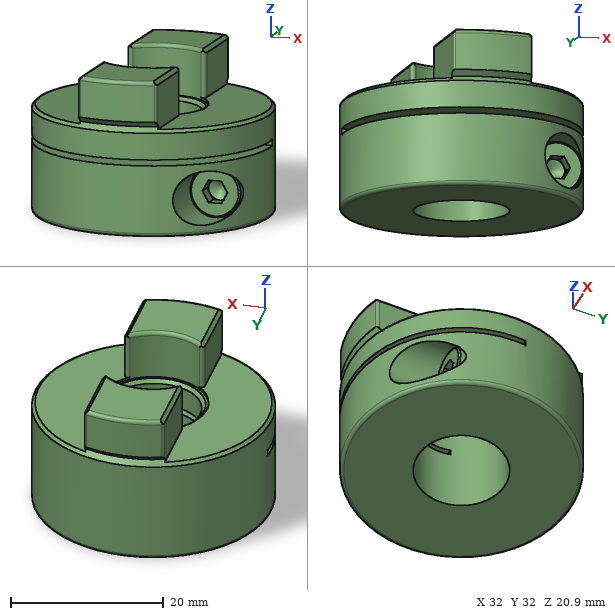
import cadquery as cq
import math

hub_radius = 16.0
hub_height = 14.4
bottom_round = 0.5
bore_radius = 6.35
bore_chamfer = 0.5
recess_radius = 7.23
recess_depth = 0.32

total_height = 20.9
jaw_width = 10.8
jaw_corner_round = 0.4
jaw_top_chamfer = 0.5
jaw_top_round = 0.5

groove_depth = 0.75
groove_height = 14.7

slit_bottom = 9.57
slit_width = 0.8
slit_end_y = 1.5

screw_x = 10.98
screw_z = 4.9
head_radius = 3.5
head_front_y = -7.55
head_height = 4.0
head_chamfer = 0.22
pocket_radius = 3.6
shank_radius = 2.0
shank_length = 7.05
hex_flats = 3.0
hex_depth = 1.92
drill_point_angle = 120.0

head_seat_y = head_front_y + head_height


def screw_section(y):
    """Workplane at the given Y on the screw axis, facing +Y."""
    return cq.Workplane(cq.Plane(origin=(screw_x, y, screw_z), xDir=(1, 0, 0), normal=(0, 1, 0)))


def make_disc():
    disc = cq.Workplane("XY").circle(hub_radius).extrude(hub_height)
    return disc.faces("<Z").edges().fillet(bottom_round)


def make_jaw(side):
    """One jaw on the +Y or -Y side: curved top edges rounded, straight top edges chamfered."""
    jaw_bottom = hub_height - recess_depth
    ring = (
        cq.Workplane("XY", origin=(0, 0, jaw_bottom))
        .circle(hub_radius)
        .circle(recess_radius)
        .extrude(total_height - jaw_bottom)
    )
    ring = ring.faces(">Z").edges().fillet(jaw_top_round)
    block = (
        cq.Workplane("XY", origin=(0, side * hub_radius / 2, jaw_bottom))
        .rect(jaw_width, hub_radius)
        .extrude(total_height - jaw_bottom)
    )
    block = block.faces(">Z").edges("|Y").chamfer(jaw_top_chamfer)
    jaw = ring.intersect(block)
    return jaw.edges("|Z").fillet(jaw_corner_round)


def make_rim_groove():
    return (
        cq.Workplane("XZ")
        .moveTo(hub_radius - groove_depth, groove_height)
        .lineTo(hub_radius, groove_height - groove_depth)
        .lineTo(hub_radius + groove_depth, groove_height)
        .lineTo(hub_radius, groove_height + groove_depth)
        .close()
        .revolve(360, (0, 0, 0), (0, 1, 0))
    )


def make_bore():
    """Through bore with a chamfered mouth at the floor of a shallow round recess."""
    recess_floor = hub_height - recess_depth
    return (
        cq.Workplane("XZ")
        .lineTo(bore_radius, 0)
        .lineTo(bore_radius, recess_floor - bore_chamfer)
        .lineTo(bore_radius + bore_chamfer, recess_floor)
        .lineTo(recess_radius, recess_floor)
        .lineTo(recess_radius, hub_height)
        .lineTo(0, hub_height)
        .close()
        .revolve(360, (0, 0, 0), (0, 1, 0))
    )


def make_slit():
    slit_length = hub_radius + slit_end_y
    return (
        cq.Workplane("XY", origin=(0, slit_end_y - slit_length / 2, slit_bottom))
        .rect(2 * hub_radius, slit_length)
        .extrude(slit_width)
    )


def make_screw_hole():
    pocket = screw_section(-hub_radius).circle(pocket_radius).extrude(hub_radius + head_seat_y)
    shank_hole = screw_section(head_seat_y).circle(shank_radius).extrude(shank_length)
    return pocket.union(shank_hole)


def make_hub():
    hub = make_disc()
    for side in (-1, 1):
        hub = hub.union(make_jaw(side))
    for cutter in (make_rim_groove(), make_bore(), make_slit(), make_screw_hole()):
        hub = hub.cut(cutter)
    return hub


def make_socket():
    """Hexagonal socket that ends in a drill-point cone."""
    hexagon = (
        screw_section(head_front_y)
        .polygon(6, hex_flats / math.cos(math.pi / 6))
        .extrude(hex_depth)
    )
    cone_radius = hex_flats / 2
    cone_height = cone_radius / math.tan(math.radians(drill_point_angle / 2))
    cone = cq.Solid.makeCone(
        cone_radius,
        0,
        cone_height,
        pnt=cq.Vector(screw_x, head_front_y + hex_depth, screw_z),
        dir=cq.Vector(0, 1, 0),
    )
    return hexagon.union(cq.Workplane(cone))


def make_screw():
    head = screw_section(head_front_y).circle(head_radius).extrude(head_height)
    head = head.faces("<Y").edges().chamfer(head_chamfer)
    shank = screw_section(head_seat_y).circle(shank_radius).extrude(shank_length)
    return head.union(shank).cut(make_socket())


hub = make_hub()
clamp_screw = make_screw()

result = cq.Compound.makeCompound([hub.solids().val(), clamp_screw.solids().val()])